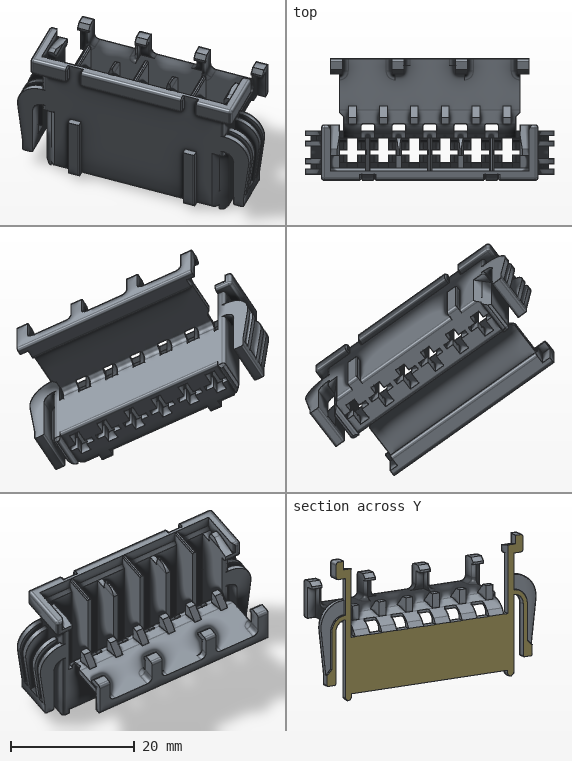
import cadquery as cq
import math


PITCH = 5.0
CAVITY_COUNT = 6
CAVITY_XS = [(i - (CAVITY_COUNT - 1) / 2) * PITCH for i in range(CAVITY_COUNT)]
SIDES = (-1, 1)
SELECT_MARGIN = 0.1

BODY_HALF = 15.8
BODY_DEPTH = 7.0
BODY_BASE_Z = 1.05
CORNER_R = 0.5
BASE_EDGE_R = 0.49
END_WALL = 1.2
FRONT_WALL = 1.05
REAR_WALL = 1.1
CAVITY_HALF = BODY_HALF - END_WALL
CAVITY_REAR_Y = BODY_DEPTH - REAR_WALL
REAR_WALL_TOP = 10.6
CORNER_CUT = 2.1
CORNER_CUT_TOP = 12.6

TOP_Z = 23.5
FLANGE_HALF = 17.5
FLANGE_OVERHANG = 1.0
FLANGE_REAR_Y = BODY_DEPTH + FLANGE_OVERHANG
FLANGE_HEIGHT = 3.0
FLANGE_BASE_Z = TOP_Z - FLANGE_HEIGHT
FLANGE_R = 0.5
MOUTH_HALF = 16.05
MOUTH_FRONT_Y = 0.5
LEDGE_Z = 21.6
DECK_Z = 21.0
MOUTH_ROUND_X = 0.5
MOUTH_ROUND_Y = 1.0
MOUTH_ROUND_R = (MOUTH_ROUND_X**2 + MOUTH_ROUND_Y**2) / (2 * MOUTH_ROUND_X)
KEY_X = 2 * PITCH
KEY_GAP = 2.2
KEY_EDGE_CHAMFER = 0.25

RIB_WIDTH = 1.95
RIB_TOP = 12.1
RIB_CHAMFER_X = 0.14
RIB_CHAMFER_Y = 0.24

FOOT_WIDTH = 1.25

TALL_WALL = 0.7
TALL_WALL_TOP = 23.3
TALL_WALL_CHAMFER = 0.2
LOW_WALL = 0.85
END_HUMP_TAPER = 0.35
HUMP_FRONT_Y = 3.0
HUMP_CREST_Y = 4.1
END_CREST_Z = 22.5
END_SHOULDER_Z = 22.0
LOW_CREST_Z = 22.3
LOW_SHOULDER_Z = 21.4
LOW_CREST_WIDTH = 0.3
LOW_HUMP_MIDDLE = (5.0, 22.08)
FLOOR_TOP = 4.0
FLOOR_STEP = 0.25
SLOT_WIDTH = 1.7
SLOT_FRONT_Y = 1.9
CROSS_FRONT_Y = 3.15
CROSS_REAR_Y = 3.95
PAD_STARTS = (SLOT_WIDTH / 2, 1.47)
REAR_STEP_Y = 5.2
REAR_STEP_R = 0.5

CLIP_HALF = 40.19 / 2
CLIP_TOP = 16.83
CLIP_OUTER_R = 4.15
CLIP_ROOT_UNDER = 13.58
CLIP_INNER_R = 1.75
CLIP_INNER_X = 17.46
CLIP_TOE_X = 19.2
CLIP_BASE_Z = 2.87
CLIP_TOE_R = 0.3
CLIP_BAR_TOP = 4.75
WEB_THICKNESS = 0.85
LEAF_BANDS = ((0.0, 0.87), (1.7, 2.55), (4.57, 5.35), (6.25, BODY_DEPTH))

LID_HALF = CAVITY_HALF
LID_REAR_Y = 18.7
LID_FRONT_Y = 8.16
LID_TOP = 13.27
LID_UNDER = 12.17
LID_SLOPE_Y = 10.4
LID_NECK_HALF = 13.9
LID_NECK_Y = 9.3
STRAP_WIDTH = 2.8
STRAP_END_Z = 12.66
STRAP_BEND_END = (6.5, 11.5)
STRAP_BEND_MIDDLE = (7.5, 12.35)
STRAP_UNDER_Z = 11.2
STRAP_UNDER_MIDDLE = (7.35, 11.83)
STRAP_UNDER_END_Y = 8.05
STRAP_GAP_R = 0.35
WEDGE_WIDTH = 1.27
WEDGE_TOP = 15.07
WEDGE_CREST_Y = 9.2
LID_BAR_Y = 15.7
LID_BAR_UNDER = 11.2
LID_EDGE_R = 0.5

HOOK_WIDTH = 1.93
HOOK_TOP = 17.5
HOOK_FRONT_Y = 16.2
HOOK_NOTCH_Y = 17.55
HOOK_NOTCH_TOP = 16.4
HOOK_CHEEK = HOOK_WIDTH - (MOUTH_HALF - LID_HALF)
HOOK_NOSE = 0.7
HOOK_ROOT_R = 0.95
INNER_HOOK_X = 4.17


def box(x0, x1, y0, y1, z0, z1):
    return cq.Workplane("XY").box(x1 - x0, y1 - y0, z1 - z0, centered=False).translate((x0, y0, z0))


def along_x(points, x0, x1):
    """Prism along X over an outline given as (y, z) points."""
    return cq.Workplane("YZ").polyline(points).close().extrude(x1 - x0).translate((x0, 0, 0))


def both_sides(solid):
    return solid.union(solid.mirror("YZ"))


def body_block():
    body = box(-BODY_HALF, BODY_HALF, 0, BODY_DEPTH, BODY_BASE_Z, TOP_Z)
    body = body.edges("|Z").fillet(CORNER_R)
    return body.faces("<Z").edges("<Y").fillet(BASE_EDGE_R)


def flange():
    ring = box(-FLANGE_HALF, FLANGE_HALF, -FLANGE_OVERHANG, FLANGE_REAR_Y, FLANGE_BASE_Z, TOP_Z)
    ring = ring.edges().fillet(FLANGE_R)
    for side in SIDES:
        x = side * KEY_X
        gap = box(x - KEY_GAP / 2, x + KEY_GAP / 2, -FLANGE_OVERHANG, 0, FLANGE_BASE_Z, TOP_Z)
        ring = ring.cut(gap)
    corners = cq.selectors.BoxSelector(
        (-KEY_X - KEY_GAP, -FLANGE_OVERHANG - SELECT_MARGIN, FLANGE_BASE_Z),
        (KEY_X + KEY_GAP, -FLANGE_OVERHANG + SELECT_MARGIN, TOP_Z),
    )
    return ring.edges("|Z").edges(corners).chamfer(KEY_EDGE_CHAMFER)


def mouth_and_cavity():
    """Open interior: a mouth above the end ledges and a narrower cavity below, both open to the rear."""
    mouth = box(-MOUTH_HALF, MOUTH_HALF, MOUTH_FRONT_Y, FLANGE_REAR_Y, LEDGE_Z, TOP_Z)
    deck = box(-MOUTH_HALF, MOUTH_HALF, FRONT_WALL, HUMP_FRONT_Y, DECK_Z, LEDGE_Z)
    cavity = box(-CAVITY_HALF, CAVITY_HALF, FRONT_WALL, CAVITY_REAR_Y, BODY_BASE_Z, LEDGE_Z)
    rear = box(-CAVITY_HALF, CAVITY_HALF, CAVITY_REAR_Y, FLANGE_REAR_Y, REAR_WALL_TOP, LEDGE_Z)
    lead_in_outline = [(FRONT_WALL, DECK_Z), (MOUTH_FRONT_Y, LEDGE_Z), (FRONT_WALL, LEDGE_Z)]
    lead_in = along_x(lead_in_outline, -MOUTH_HALF, MOUTH_HALF)
    round_end = (
        cq.Workplane("XY")
        .workplane(offset=LEDGE_Z)
        .moveTo(MOUTH_HALF, FLANGE_REAR_Y - MOUTH_ROUND_Y)
        .radiusArc((MOUTH_HALF + MOUTH_ROUND_X, FLANGE_REAR_Y), MOUTH_ROUND_R)
        .lineTo(MOUTH_HALF, FLANGE_REAR_Y)
        .close()
        .extrude(TOP_Z - LEDGE_Z)
    )
    return mouth.union(deck).union(cavity).union(rear).union(lead_in).union(both_sides(round_end))


def corner_cut():
    """Vertical 45 degree bevel on the lower front corner of the right-hand end."""
    points = [(BODY_HALF, 0), (BODY_HALF, CORNER_CUT), (BODY_HALF - CORNER_CUT, 0)]
    return cq.Workplane("XY").polyline(points).close().extrude(CORNER_CUT_TOP)


def foot():
    """Round-bottomed ridge under the right-hand end wall."""
    radius = FOOT_WIDTH / 2
    x0 = BODY_HALF - FOOT_WIDTH
    ridge = box(x0, BODY_HALF, 0, BODY_DEPTH, 0, BODY_BASE_Z + CORNER_R)
    ridge = ridge.edges(">Y and >X").fillet(CORNER_R)
    ridge = ridge.faces("<Z").edges(">Y").chamfer(CORNER_R)
    profile = (
        cq.Workplane("XZ")
        .moveTo(x0, BODY_BASE_Z + CORNER_R)
        .lineTo(x0, radius)
        .threePointArc((x0 + radius, 0), (BODY_HALF, radius))
        .lineTo(BODY_HALF, BODY_BASE_Z + CORNER_R)
        .close()
        .extrude(-BODY_DEPTH)
    )
    return ridge.intersect(profile)


def front_rib(x):
    half = RIB_WIDTH / 2
    plan = [
        (x - half, FRONT_WALL),
        (x - half, RIB_CHAMFER_Y - FLANGE_OVERHANG),
        (x - half + RIB_CHAMFER_X, -FLANGE_OVERHANG),
        (x + half - RIB_CHAMFER_X, -FLANGE_OVERHANG),
        (x + half, RIB_CHAMFER_Y - FLANGE_OVERHANG),
        (x + half, FRONT_WALL),
    ]
    rib = cq.Workplane("XY").workplane(offset=BODY_BASE_Z).polyline(plan).close()
    rib = rib.extrude(RIB_TOP - BODY_BASE_Z)
    return rib.faces("<Z").edges("<Y").fillet(CORNER_R)


def tall_partition(x):
    half = TALL_WALL / 2
    wall = box(x - half, x + half, MOUTH_FRONT_Y, CAVITY_REAR_Y, BODY_BASE_Z, TALL_WALL_TOP)
    return wall.faces(">Z").edges("|Y").chamfer(TALL_WALL_CHAMFER)


def leaning_sides(x0, x1, left_taper, right_taper, shoulder_z, crest_z):
    """Bar along Y whose sides lean in between the shoulder and the crest."""
    section = [
        (x0, DECK_Z),
        (x0, shoulder_z),
        (x0 + left_taper, crest_z),
        (x1 - right_taper, crest_z),
        (x1, shoulder_z),
        (x1, DECK_Z),
    ]
    return cq.Workplane("XZ").polyline(section).close().extrude(-FLANGE_REAR_Y)


def end_hump():
    """Ramp on the right-hand end wall, rising from the rear ledge to a short crest."""
    outline = [
        (HUMP_FRONT_Y, DECK_Z),
        (HUMP_FRONT_Y, END_CREST_Z),
        (HUMP_CREST_Y, END_CREST_Z),
        (FLANGE_REAR_Y, LEDGE_Z),
        (FLANGE_REAR_Y, DECK_Z),
    ]
    sides = leaning_sides(CAVITY_HALF, MOUTH_HALF, END_HUMP_TAPER, 0, END_SHOULDER_Z, END_CREST_Z)
    return along_x(outline, CAVITY_HALF, MOUTH_HALF).intersect(sides)


def low_partition(x):
    """Wall up to the deck, with a rounded hump on its rear half that narrows towards its crest."""
    x0 = x - LOW_WALL / 2
    x1 = x + LOW_WALL / 2
    taper = (LOW_WALL - LOW_CREST_WIDTH) / 2
    wall = box(x0, x1, FRONT_WALL, CAVITY_REAR_Y, BODY_BASE_Z, DECK_Z)
    ridge = (
        cq.Workplane("YZ")
        .moveTo(HUMP_FRONT_Y, DECK_Z)
        .lineTo(HUMP_FRONT_Y, LOW_CREST_Z)
        .lineTo(HUMP_CREST_Y, LOW_CREST_Z)
        .threePointArc(LOW_HUMP_MIDDLE, (CAVITY_REAR_Y, LOW_SHOULDER_Z))
        .lineTo(CAVITY_REAR_Y, DECK_Z)
        .close()
        .extrude(LOW_WALL)
        .translate((x0, 0, 0))
    )
    return wall.union(ridge.intersect(leaning_sides(x0, x1, taper, taper, LOW_SHOULDER_Z, LOW_CREST_Z)))


def cavity_floor(x):
    """Floor of one cavity: cross-shaped opening, pads stepping up from it, rounded step at the rear."""
    x0 = max(x - PITCH / 2, -CAVITY_HALF)
    x1 = min(x + PITCH / 2, CAVITY_HALF)
    slot_x0 = x - SLOT_WIDTH / 2
    slot_x1 = x + SLOT_WIDTH / 2
    floor = box(x0, x1, FRONT_WALL, CAVITY_REAR_Y, BODY_BASE_Z, FLOOR_TOP)
    pad_top = FLOOR_TOP
    for start in PAD_STARTS:
        pad_top += FLOOR_STEP
        floor = floor.union(box(x0, x - start, SLOT_FRONT_Y, REAR_STEP_Y, FLOOR_TOP, pad_top))
        floor = floor.union(box(x + start, x1, SLOT_FRONT_Y, REAR_STEP_Y, FLOOR_TOP, pad_top))
    rear_step = box(x0, x1, REAR_STEP_Y, CAVITY_REAR_Y, FLOOR_TOP, pad_top + REAR_STEP_R)
    floor = floor.union(rear_step.faces(">Z").edges("<Y").fillet(REAR_STEP_R))
    slot = box(slot_x0, slot_x1, SLOT_FRONT_Y, CAVITY_REAR_Y, BODY_BASE_Z, REAR_WALL_TOP)
    front_groove = box(slot_x0, slot_x1, FRONT_WALL, SLOT_FRONT_Y, FLOOR_TOP - FLOOR_STEP, FLOOR_TOP)
    cross = box(x0, x1, CROSS_FRONT_Y, CROSS_REAR_Y, BODY_BASE_Z, REAR_WALL_TOP)
    return floor.cut(slot).cut(front_groove).cut(cross)


def arch(outer_x, top_z, outer_r, toe_x, base_z):
    """Side profile of the clip: root, quarter bend and leg, extruded through the body depth."""
    bend_z = top_z - outer_r
    bend_x = outer_x - outer_r
    toe_distance = math.hypot(toe_x - bend_x, base_z - bend_z)
    toe_angle = math.atan2(base_z - bend_z, toe_x - bend_x)
    tangent_angle = toe_angle + math.acos(outer_r / toe_distance)
    tangent_point = (bend_x + outer_r * math.cos(tangent_angle), bend_z + outer_r * math.sin(tangent_angle))
    inner_bend_z = CLIP_ROOT_UNDER - CLIP_INNER_R
    diagonal = math.sqrt(0.5)
    root_x = CAVITY_HALF
    return (
        cq.Workplane("XZ")
        .moveTo(root_x, CLIP_ROOT_UNDER)
        .lineTo(root_x, top_z)
        .lineTo(bend_x, top_z)
        .threePointArc((bend_x + outer_r * diagonal, bend_z + outer_r * diagonal), tangent_point)
        .lineTo(toe_x, base_z)
        .lineTo(CLIP_INNER_X, base_z)
        .lineTo(CLIP_INNER_X, inner_bend_z)
        .threePointArc(
            (
                CLIP_INNER_X - CLIP_INNER_R * (1 - diagonal),
                inner_bend_z + CLIP_INNER_R * diagonal,
            ),
            (CLIP_INNER_X - CLIP_INNER_R, CLIP_ROOT_UNDER),
        )
        .close()
        .extrude(-BODY_DEPTH)
    )


def clip():
    """Right-hand clip: four leaves, thin webs inside each outer pair and a bar across the toes."""
    full = arch(CLIP_HALF, CLIP_TOP, CLIP_OUTER_R, CLIP_TOE_X, CLIP_BAR_TOP)
    web_x = CLIP_INNER_X + WEB_THICKNESS
    web = arch(web_x, CLIP_ROOT_UNDER + WEB_THICKNESS, CLIP_INNER_R + WEB_THICKNESS, web_x, CLIP_BAR_TOP)
    bar = box(CLIP_INNER_X, CLIP_TOE_X, 0, BODY_DEPTH, CLIP_BASE_Z, CLIP_BAR_TOP)
    sprung_leg = bar.faces("<Z").edges("|Y").fillet(CLIP_TOE_R)
    ramp_top = CLIP_BAR_TOP + CLIP_TOE_X - web_x
    ramp_outline = [
        (CLIP_INNER_X, CLIP_BAR_TOP),
        (CLIP_TOE_X, CLIP_BAR_TOP),
        (web_x, ramp_top),
        (CLIP_INNER_X, ramp_top),
    ]
    ramp = cq.Workplane("XZ").polyline(ramp_outline).close().extrude(-BODY_DEPTH)
    web = web.union(ramp)
    for y0, y1 in LEAF_BANDS:
        slab = box(0, CLIP_HALF, y0, y1, 0, TOP_Z)
        sprung_leg = sprung_leg.union(full.intersect(slab))
    for front_leaf, rear_leaf in (LEAF_BANDS[:2], LEAF_BANDS[2:]):
        slab = box(0, CLIP_HALF, front_leaf[1], rear_leaf[0], 0, TOP_Z)
        sprung_leg = sprung_leg.union(web.intersect(slab))
    return sprung_leg


def hinge_profile():
    """Lid plate and hinge strap as one (y, z) section, ending on top of the rear wall."""
    return (
        cq.Workplane("YZ")
        .moveTo(LID_REAR_Y, LID_UNDER)
        .lineTo(LID_REAR_Y, LID_TOP)
        .lineTo(LID_SLOPE_Y, LID_TOP)
        .lineTo(LID_FRONT_Y, STRAP_END_Z)
        .threePointArc(STRAP_BEND_MIDDLE, STRAP_BEND_END)
        .lineTo(CAVITY_REAR_Y, REAR_WALL_TOP)
        .lineTo(BODY_DEPTH, REAR_WALL_TOP)
        .lineTo(BODY_DEPTH, STRAP_UNDER_Z)
        .threePointArc(STRAP_UNDER_MIDDLE, (STRAP_UNDER_END_Y, LID_UNDER))
        .close()
        .extrude(2 * LID_HALF)
        .translate((-LID_HALF, 0, 0))
    )


def lid_plate():
    neck_run = LID_HALF - LID_NECK_HALF
    shoulder_y = LID_NECK_Y + neck_run
    plan = [
        (-LID_HALF, LID_REAR_Y),
        (-LID_HALF, shoulder_y),
        (-LID_NECK_HALF, LID_NECK_Y),
        (-LID_NECK_HALF, LID_FRONT_Y),
        (LID_NECK_HALF, LID_FRONT_Y),
        (LID_NECK_HALF, LID_NECK_Y),
        (LID_HALF, shoulder_y),
        (LID_HALF, LID_REAR_Y),
    ]
    footprint = cq.Workplane("XY").polyline(plan).close().extrude(TOP_Z)
    for x in CAVITY_XS:
        strap = box(x - STRAP_WIDTH / 2, x + STRAP_WIDTH / 2, CAVITY_REAR_Y, LID_FRONT_Y, 0, TOP_Z)
        footprint = footprint.union(strap)
    gap_half = CAVITY_XS[-1] - STRAP_WIDTH / 2
    gap_corners = cq.selectors.BoxSelector(
        (-gap_half - SELECT_MARGIN, LID_FRONT_Y - SELECT_MARGIN, 0),
        (gap_half + SELECT_MARGIN, LID_FRONT_Y + SELECT_MARGIN, TOP_Z),
    )
    footprint = footprint.edges("|Z").edges(gap_corners).fillet(STRAP_GAP_R)
    plate = hinge_profile().intersect(footprint)
    bar = box(-LID_HALF, LID_HALF, LID_BAR_Y, LID_REAR_Y, LID_BAR_UNDER, LID_TOP)
    return plate.union(bar.faces("<Z").edges("|X").fillet(LID_EDGE_R))


def wedge(x):
    """45 degree ramp rib on the lid in line with one cavity."""
    outline = [
        (WEDGE_CREST_Y + WEDGE_TOP - LID_TOP, LID_TOP),
        (WEDGE_CREST_Y, WEDGE_TOP),
        (LID_FRONT_Y, WEDGE_TOP),
        (LID_FRONT_Y, LID_UNDER),
        (LID_SLOPE_Y, LID_UNDER),
    ]
    return along_x(outline, x - WEDGE_WIDTH / 2, x + WEDGE_WIDTH / 2)


def hook(notch_x, direction):
    """Upright hook notched at notch_x, with a solid cheek on the side the X direction gives."""
    cheek_x = notch_x + direction * HOOK_WIDTH
    notch_end = cheek_x - direction * HOOK_CHEEK
    x0, x1 = sorted((notch_x, cheek_x))
    n0, n1 = sorted((notch_x, notch_end))
    block = box(x0, x1, HOOK_FRONT_Y, LID_REAR_Y, LID_BAR_UNDER, HOOK_TOP)
    block = block.faces(">Z").edges("<Y").chamfer(HOOK_NOSE)
    block = block.faces(">Y").edges("|X").fillet(LID_EDGE_R)
    notch = box(n0, n1, HOOK_FRONT_Y, HOOK_NOTCH_Y, LID_BAR_UNDER, HOOK_NOTCH_TOP)
    cheek_corner = box(x0, x1, HOOK_FRONT_Y, HOOK_FRONT_Y + HOOK_CHEEK, LID_TOP, HOOK_NOTCH_TOP)
    return block.cut(notch).cut(cheek_corner)


def root_strip(y0):
    """Concave quarter-round strip along Y, from y0 to the rear edge of the lid, growing towards +X."""
    middle = HOOK_ROOT_R * (1 - math.sqrt(0.5))
    return (
        cq.Workplane("XZ")
        .lineTo(HOOK_ROOT_R, 0)
        .threePointArc((middle, middle), (0, HOOK_ROOT_R))
        .close()
        .extrude(y0 - LID_REAR_Y)
        .translate((0, y0, LID_TOP))
    )


def round_cheek():
    """Quarter-round front corner of a cheek on the +X side of its axis, flaring out at the foot."""
    reach = HOOK_CHEEK + HOOK_ROOT_R
    middle = HOOK_ROOT_R * (1 - math.sqrt(0.5))
    post = (
        cq.Workplane("XZ")
        .lineTo(reach, 0)
        .threePointArc((HOOK_CHEEK + middle, middle), (HOOK_CHEEK, HOOK_ROOT_R))
        .lineTo(HOOK_CHEEK, HOOK_NOTCH_TOP - LID_TOP)
        .lineTo(0, HOOK_NOTCH_TOP - LID_TOP)
        .close()
        .revolve(360, (0, 0, 0), (0, 1, 0))
    )
    quadrant = box(0, reach, -reach, 0, 0, HOOK_TOP)
    return post.intersect(quadrant).translate((0, HOOK_FRONT_Y + HOOK_CHEEK, LID_TOP))


def cheek_foot(cheek_x, direction):
    """Rounded front corner of a cheek and the root fillet along its side."""
    foot_part = round_cheek().union(root_strip(HOOK_FRONT_Y + HOOK_CHEEK).translate((HOOK_CHEEK, 0, 0)))
    if direction < 0:
        foot_part = foot_part.mirror("YZ")
    return foot_part.translate((cheek_x - direction * HOOK_CHEEK, 0, 0))


def notch_root(notch_x, direction):
    """Fillet at the foot of the stem behind an inner hook's notch."""
    root = root_strip(HOOK_NOTCH_Y)
    if direction < 0:
        root = root.mirror("YZ")
    return root.translate((notch_x, 0, 0))


def lid():
    cover = lid_plate()
    for x in CAVITY_XS:
        cover = cover.union(wedge(x))
    for side in SIDES:
        outer_x = side * MOUTH_HALF
        inner_x = side * INNER_HOOK_X
        cover = cover.union(hook(outer_x, -side)).union(cheek_foot(outer_x - side * HOOK_WIDTH, -side))
        cover = cover.union(hook(inner_x, side)).union(cheek_foot(inner_x + side * HOOK_WIDTH, side))
        cover = cover.union(notch_root(inner_x, -side))
    return cover


housing = body_block().union(flange()).union(both_sides(foot()))
housing = housing.cut(both_sides(corner_cut())).cut(mouth_and_cavity())
for cavity_x in CAVITY_XS:
    housing = housing.union(cavity_floor(cavity_x))
for wall_x in (-2 * PITCH, 0, 2 * PITCH):
    housing = housing.union(tall_partition(wall_x))
for wall_x in (-PITCH, PITCH):
    housing = housing.union(low_partition(wall_x))
housing = housing.union(both_sides(end_hump()))
housing = housing.union(both_sides(front_rib(KEY_X)))

result = housing.union(both_sides(clip())).union(lid())